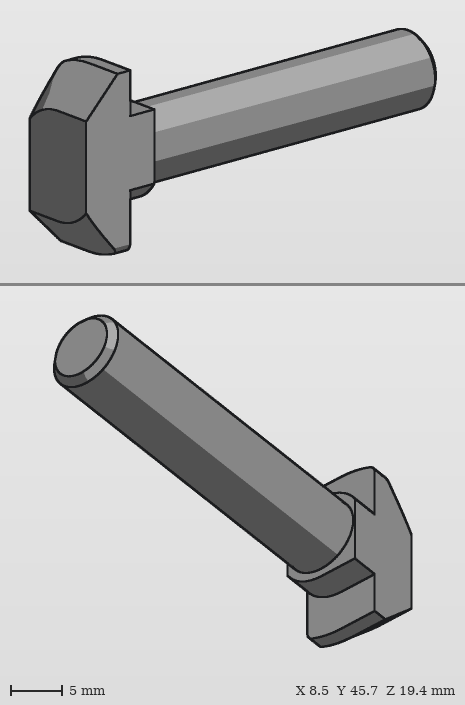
import cadquery as cq

total_length = 45.7
head_width = 8.5
head_length = 19.4
head_height = 5.65
head_bevel = 4.0
corner_radius = 1.0
neck_length = 10.0
neck_height = 3.05
shank_diameter = 8.1
tip_chamfer = 0.78

half_width = head_width / 2
half_head = head_length / 2
half_neck = neck_length / 2
neck_top = head_height + neck_height


def half_section():
    """Half of the head and neck silhouette: distance from the axis against Y."""
    return cq.Workplane("XY").polyline([
        (0, 0),
        (half_head - head_bevel, 0),
        (half_head, head_bevel),
        (half_head, head_height),
        (half_neck, head_height),
        (half_neck, neck_top),
        (0, neck_top),
    ]).close()


def rounded_quarter():
    """The -X, +Z quarter: turned about the bolt axis and cut flat at the side."""
    turned = half_section().revolve(360, (0, 0, 0), (0, 1, 0))
    quarter = cq.Workplane("XY").box(
        half_width, neck_top, half_head, centered=False
    ).translate((-half_width, 0, 0))
    quarter = turned.intersect(quarter)

    corner_z = (half_head**2 - half_width**2) ** 0.5
    corner = cq.selectors.NearestToPointSelector(
        (-half_width, (head_bevel + head_height) / 2, corner_z)
    )
    return quarter.edges("|Y").edges(corner).fillet(corner_radius)


def square_quarter():
    """The +X, +Z quarter: the same silhouette carried straight along X."""
    straight = half_section().extrude(half_width)
    return straight.rotate((0, 0, 0), (0, 1, 0), -90).translate((half_width, 0, 0))


def shank():
    """Round shank with a chamfered tip."""
    tip_length = total_length - neck_top
    rod = cq.Workplane("XZ", origin=(0, neck_top, 0)).circle(shank_diameter / 2).extrude(-tip_length)
    return rod.faces(">Y").chamfer(tip_chamfer)


upper_half = rounded_quarter().union(square_quarter())
lower_half = upper_half.rotate((0, 0, 0), (0, 1, 0), 180)
result = upper_half.union(lower_half).union(shank())